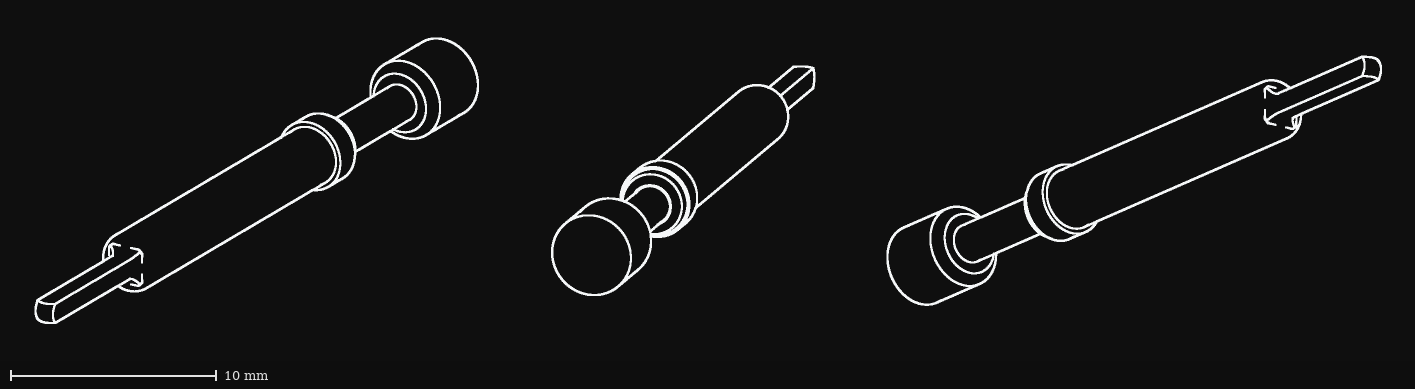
import cadquery as cq
import math


head_radius = 2.0
head_length = 4.0
head_chamfer = 0.5
stem_radius = 0.95
stem_length = 6.3

collar_radius = 1.75
collar_length = 2.0
collar_rim_height = 1.35
collar_cone_radius = 1.65
collar_bend_radius = 1.5
collar_bend_height = 1.8
collar_mouth_radius = 1.0
barrel_radius = 1.5
barrel_length = 17.0
barrel_end_fillet = 0.5

pin_side = 1.0
pin_length = 8.0
pin_tip_length = 0.5
pin_root_fillet = 0.45
flare_corner_radius = 1.2
flare_overlap = 0.2

barrel_end_y = -barrel_length
pin_end_y = barrel_end_y - pin_length
stem_start_y = collar_length
head_start_y = stem_start_y + stem_length


def cylinder(radius, start_y, length):
    """Round bar on the Y axis running from start_y toward +Y."""
    return cq.Workplane("XZ", origin=(0, start_y, 0)).circle(radius).extrude(-length)


def make_plunger():
    head = cylinder(head_radius, head_start_y, head_length)
    head = head.faces("<Y").chamfer(head_chamfer)
    stem = cylinder(stem_radius, stem_start_y, stem_length)
    return head.union(stem)


def make_collar():
    """Collar whose top is crimped inward by a steep cone and then a shallow one."""
    return (
        cq.Workplane("XY")
        .lineTo(collar_radius, 0)
        .lineTo(collar_radius, collar_rim_height)
        .lineTo(collar_cone_radius, collar_rim_height)
        .lineTo(collar_bend_radius, collar_bend_height)
        .lineTo(collar_mouth_radius, collar_length)
        .lineTo(0, collar_length)
        .close()
        .revolve(360, (0, 0, 0), (0, 1, 0))
    )


def make_tip_envelope():
    """Round bar, wider than the pin's diagonal, whose cone point trims the pin end."""
    cone_length = 2 * pin_tip_length
    cone_radius = pin_side
    return (
        cq.Workplane("XY")
        .moveTo(0, pin_end_y)
        .lineTo(cone_radius, pin_end_y + cone_length)
        .lineTo(cone_radius, barrel_end_y)
        .lineTo(0, barrel_end_y)
        .close()
        .revolve(360, (0, 0, 0), (0, 1, 0))
    )


def make_flare_wedge(plane):
    """Straight ridge with concave flanks, its cross section drawn on the given plane."""
    half_pin = pin_side / 2
    foot = half_pin + pin_root_fillet
    top_y = barrel_end_y - pin_root_fillet
    buried_y = barrel_end_y + flare_overlap
    arc_inset = pin_root_fillet * (1 - math.sqrt(0.5))
    arc_x = half_pin + arc_inset
    arc_y = barrel_end_y - arc_inset
    return (
        cq.Workplane(plane)
        .moveTo(half_pin, top_y)
        .threePointArc((arc_x, arc_y), (foot, barrel_end_y))
        .lineTo(foot, buried_y)
        .lineTo(-foot, buried_y)
        .lineTo(-foot, barrel_end_y)
        .threePointArc((-arc_x, arc_y), (-half_pin, top_y))
        .close()
        .extrude(2 * foot, both=True)
    )


def make_pin_flare():
    """Concave fillet round the pin root, mitred at the pin corners."""
    across_x = make_flare_wedge("XY")
    across_z = make_flare_wedge(cq.Plane(origin=(0, 0, 0), xDir=(0, 0, 1), normal=(-1, 0, 0)))
    envelope_length = pin_root_fillet + flare_overlap
    envelope = cylinder(flare_corner_radius, barrel_end_y - pin_root_fillet, envelope_length)
    return across_x.intersect(across_z).intersect(envelope)


def make_barrel():
    barrel = cylinder(barrel_radius, barrel_end_y, barrel_length)
    return barrel.faces("<Y").edges().fillet(barrel_end_fillet)


def make_pin():
    pin = cq.Workplane("XZ", origin=(0, barrel_end_y, 0)).rect(pin_side, pin_side).extrude(pin_length)
    return pin.intersect(make_tip_envelope())


result = (
    make_plunger()
    .union(make_collar())
    .union(make_barrel())
    .union(make_pin_flare())
    .union(make_pin())
)